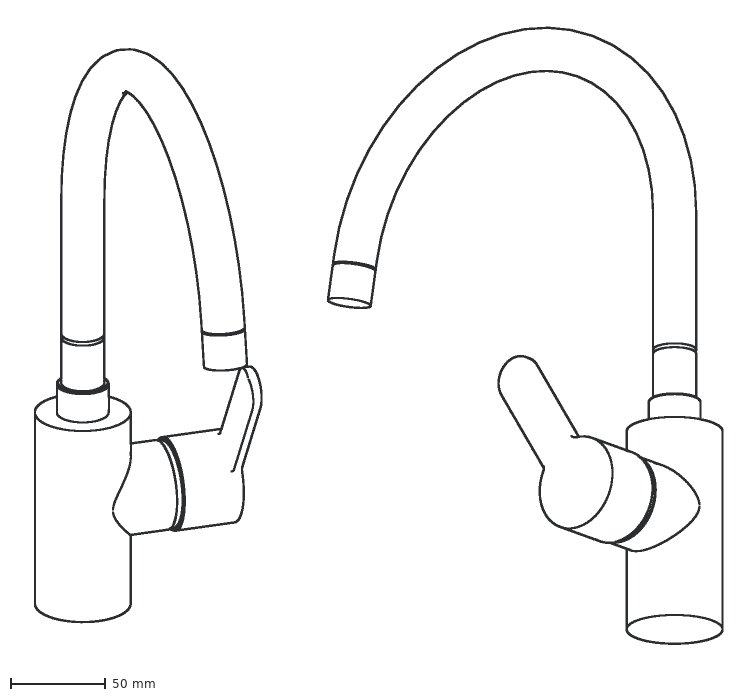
import cadquery as cq
import math

BODY_DIAMETER = 51.0
BODY_HEIGHT = 110.0
BRANCH_DIAMETER = 48.0
BRANCH_AXIS_HEIGHT = 62.0
BRANCH_END = 44.5

COLLAR_DIAMETER = 27.5
COLLAR_HEIGHT = 17.0
COLLAR_TOP = BODY_HEIGHT + COLLAR_HEIGHT
COLLAR_CHAMFER = 0.7

TUBE_DIAMETER = 23.0
TUBE_RADIUS = TUBE_DIAMETER / 2
TOTAL_HEIGHT = 353.5
BEND_RADIUS = 110.5
BEND_SWEEP = 170.0
BEND_START_HEIGHT = TOTAL_HEIGHT - TUBE_RADIUS - BEND_RADIUS
TUBE_GROOVE_HEIGHT = 154.0
TUBE_GROOVE_WIDTH = 2.0
TUBE_GROOVE_DEPTH = 0.1
SPOUT_END_LENGTH = 5.0

AERATOR_LENGTH = 19.8
AERATOR_NECK_DIAMETER = 21.5
AERATOR_NECK_LENGTH = 0.7

CAP_DIAMETER = 50.2
CAP_START = 47.7
CAP_END = 81.5
CAP_CHAMFER = 0.7
HANDLE_ANGLE = 57.8
HANDLE_TIP_DISTANCE = 77.8
HANDLE_WIDTH = 25.5
HANDLE_HALF_WIDTH = HANDLE_WIDTH / 2
HANDLE_LENGTH = HANDLE_TIP_DISTANCE + HANDLE_HALF_WIDTH
HANDLE_THICKNESS = 5.5
HANDLE_EDGE_THICKNESS = 5.0
HANDLE_EDGE_FILLET = 1.5
HANDLE_ROOT_FILLET = 1.5

RING_DIAMETER = 46.5


def cylinder_along_y(diameter, start, end):
    """Cylinder on the branch axis between two Y positions."""
    plane = cq.Plane(origin=(0, start, BRANCH_AXIS_HEIGHT), xDir=(-1, 0, 0), normal=(0, 1, 0))
    return cq.Workplane(plane).circle(diameter / 2).extrude(end - start)


def make_body():
    column = cq.Workplane("XY").circle(BODY_DIAMETER / 2).extrude(BODY_HEIGHT)
    return column.union(cylinder_along_y(BRANCH_DIAMETER, 0, BRANCH_END))


def make_collar():
    base = cq.Workplane("XY").workplane(offset=BODY_HEIGHT)
    collar = base.circle(COLLAR_DIAMETER / 2).extrude(COLLAR_HEIGHT)
    return collar.faces(">Z").edges().chamfer(COLLAR_CHAMFER)


def outlet_plane():
    """Plane at the end of the bend, with its normal along the water flow."""
    tilt = math.radians(180.0 - BEND_SWEEP)
    origin = (
        BEND_RADIUS + BEND_RADIUS * math.cos(tilt),
        0,
        BEND_START_HEIGHT + BEND_RADIUS * math.sin(tilt),
    )
    return cq.Plane(origin=origin, xDir=(0, 1, 0), normal=(math.sin(tilt), 0, -math.cos(tilt)))


def make_spout():
    straight_length = BEND_START_HEIGHT - COLLAR_TOP
    base = cq.Workplane("XY").workplane(offset=COLLAR_TOP)
    tube = base.circle(TUBE_RADIUS).extrude(straight_length)
    bend = (
        cq.Workplane("XY")
        .workplane(offset=BEND_START_HEIGHT)
        .circle(TUBE_RADIUS)
        .revolve(BEND_SWEEP, (BEND_RADIUS, 0, 0), (BEND_RADIUS, 1, 0))
    )
    end = cq.Workplane(outlet_plane()).circle(TUBE_RADIUS).extrude(SPOUT_END_LENGTH)
    groove = (
        cq.Workplane("XY")
        .workplane(offset=TUBE_GROOVE_HEIGHT - TUBE_GROOVE_WIDTH / 2)
        .circle(TUBE_RADIUS)
        .circle(TUBE_RADIUS - TUBE_GROOVE_DEPTH)
        .extrude(TUBE_GROOVE_WIDTH)
    )
    return tube.cut(groove).union(bend, clean=False).union(end, clean=False)


def make_aerator():
    start = cq.Workplane(outlet_plane()).workplane(offset=SPOUT_END_LENGTH)
    neck = start.circle(AERATOR_NECK_DIAMETER / 2).extrude(AERATOR_NECK_LENGTH)
    sleeve = (
        start.workplane(offset=AERATOR_NECK_LENGTH)
        .circle(TUBE_RADIUS)
        .extrude(AERATOR_LENGTH - AERATOR_NECK_LENGTH)
    )
    return neck.union(sleeve)


def make_ring():
    return cylinder_along_y(RING_DIAMETER, BRANCH_END, CAP_START)


def make_handle():
    """Flat bar with a round tip and a shallow ridge along the middle of its -Y face."""
    plane = cq.Plane(origin=(0, CAP_END, BRANCH_AXIS_HEIGHT), xDir=(1, 0, 0), normal=(0, -1, 0))
    outline = (
        cq.Workplane(plane)
        .moveTo(0, -HANDLE_HALF_WIDTH)
        .lineTo(HANDLE_TIP_DISTANCE, -HANDLE_HALF_WIDTH)
        .threePointArc((HANDLE_LENGTH, 0), (HANDLE_TIP_DISTANCE, HANDLE_HALF_WIDTH))
        .lineTo(0, HANDLE_HALF_WIDTH)
        .close()
        .extrude(HANDLE_THICKNESS)
        .edges("#Y")
        .fillet(HANDLE_EDGE_FILLET)
    )
    section_plane = cq.Plane(origin=(0, CAP_END, BRANCH_AXIS_HEIGHT), xDir=(0, 0, 1), normal=(1, 0, 0))
    section = (
        cq.Workplane(section_plane)
        .polyline([
            (-HANDLE_HALF_WIDTH, 0),
            (HANDLE_HALF_WIDTH, 0),
            (HANDLE_HALF_WIDTH, HANDLE_EDGE_THICKNESS),
            (0, HANDLE_THICKNESS),
            (-HANDLE_HALF_WIDTH, HANDLE_EDGE_THICKNESS),
        ])
        .close()
        .extrude(HANDLE_LENGTH)
    )
    return outline.intersect(section)


def make_lever():
    """Cap and handle joined along +X with a filleted root, then turned about the branch axis."""
    cap = cylinder_along_y(CAP_DIAMETER, CAP_START, CAP_END).faces("<Y").edges().chamfer(CAP_CHAMFER)
    root_edges = cq.selectors.BoxSelector(
        (CAP_DIAMETER / 4, CAP_END - 2 * HANDLE_THICKNESS, BRANCH_AXIS_HEIGHT - HANDLE_HALF_WIDTH),
        (CAP_DIAMETER / 2, CAP_END, BRANCH_AXIS_HEIGHT + HANDLE_HALF_WIDTH),
    )
    lever = cap.union(make_handle()).edges(root_edges).fillet(HANDLE_ROOT_FILLET)
    axis_start = (0, 0, BRANCH_AXIS_HEIGHT)
    axis_end = (0, -1, BRANCH_AXIS_HEIGHT)
    return lever.rotate(axis_start, axis_end, HANDLE_ANGLE)


body = make_body()
collar = make_collar()
spout = make_spout()
aerator = make_aerator()
ring = make_ring()
lever = make_lever()

result = cq.Compound.makeCompound([
    body.val(),
    collar.val(),
    spout.val(),
    aerator.val(),
    ring.val(),
    lever.val(),
])